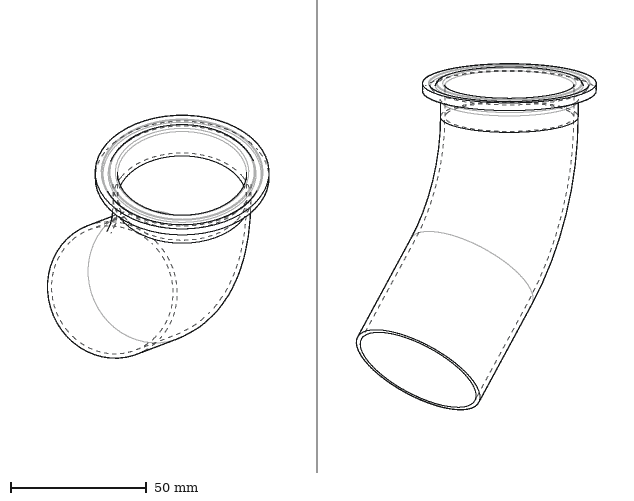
import cadquery as cq
import math

tube_radius = 25.4
wall = 1.6
bore_radius = tube_radius - wall

ferrule_length = 12.7
flange_radius = 32.0
rim_thickness = 2.9
cone_angle = 20.0
neck_fillet = 1.6
bore_rounding = 0.8

groove_radius = 28.2
groove_depth = 1.6
groove_bottom_half_width = 0.9
groove_top_half_width = 1.4
groove_bottom_sag = 0.7
groove_lip_rounding = 0.3

bend_radius = 76.8
bend_angle = 45.0
straight_length = 44.5


def make_gasket_groove():
    """Ring with sloping flanks and a rounded bottom."""
    flank_depth = groove_depth - groove_bottom_sag
    return (
        cq.Workplane("XZ")
        .moveTo(groove_radius - groove_top_half_width, 0)
        .lineTo(groove_radius - groove_bottom_half_width, -flank_depth)
        .threePointArc(
            (groove_radius, -groove_depth),
            (groove_radius + groove_bottom_half_width, -flank_depth),
        )
        .lineTo(groove_radius + groove_top_half_width, 0)
        .close()
        .revolve(360, (0, 0, 0), (0, 1, 0))
    )


def make_ferrule():
    """Short tube with a conical-backed flange and a grooved sealing face."""
    cone_drop = (flange_radius - tube_radius) * math.tan(math.radians(cone_angle))
    neck_top = -rim_thickness - cone_drop
    blank = (
        cq.Workplane("XZ")
        .polyline([
            (bore_radius, 0),
            (flange_radius, 0),
            (flange_radius, -rim_thickness),
            (tube_radius, neck_top),
            (tube_radius, -ferrule_length),
            (bore_radius, -ferrule_length),
        ])
        .close()
        .revolve(360, (0, 0, 0), (0, 1, 0))
    )

    blank = blank.faces("%CONE").edges("<Z").fillet(neck_fillet)
    grooved = blank.cut(make_gasket_groove())

    rounded = grooved.faces(">Z").edges(cq.selectors.RadiusNthSelector(0)).fillet(bore_rounding)
    groove_lips = rounded.faces(">Z").edges(
        cq.selectors.RadiusNthSelector(1) + cq.selectors.RadiusNthSelector(2)
    )
    return groove_lips.fillet(groove_lip_rounding)


def make_elbow():
    """Bent tube that starts at the ferrule's lower end."""
    start = cq.Workplane("XY", origin=(0, 0, -ferrule_length))
    bend = (
        start.circle(tube_radius)
        .circle(bore_radius)
        .revolve(bend_angle, (-bend_radius, 0, 0), (-bend_radius, 1, 0))
    )

    angle = math.radians(bend_angle)
    bend_end = (
        -bend_radius * (1 - math.cos(angle)),
        0,
        -ferrule_length - bend_radius * math.sin(angle),
    )
    end_direction = (-math.sin(angle), 0, -math.cos(angle))
    straight = (
        cq.Workplane(cq.Plane(origin=bend_end, xDir=(0, 1, 0), normal=end_direction))
        .circle(tube_radius)
        .circle(bore_radius)
        .extrude(straight_length)
    )
    return bend.union(straight)


ferrule = make_ferrule()
elbow = make_elbow()

result = cq.Compound.makeCompound([ferrule.val(), elbow.val()])